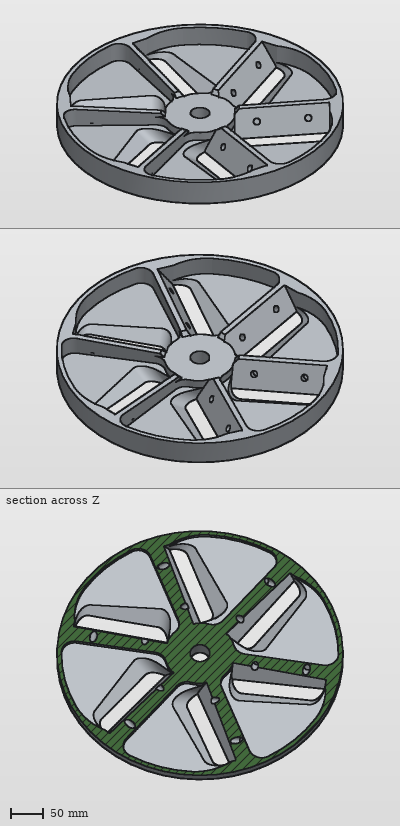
import cadquery as cq
import math

OUTER_RADIUS = 222.5
TOTAL_HEIGHT = 51.0
BOTTOM_FLAT_RADIUS = 60.0
CONE_ANGLE = 4.0
BORE_DIAMETER = 30.0
FLOOR_HEIGHT = 18.5

HUB_RADIUS = 55.0
HUB_TOP = 33.5
HUB_CLEAR_RADIUS = 75.5

RIB_COUNT = 6
RIB_BACK = 10.2
BLADE_TOP = 1.0
BLADE_BOTTOM = -25.0
BLADE_START = 53.5
BLADE_END = 201.0
RIB_NOSE_START = 54.5
HOLE_DIAMETER = 10.2
HOLE_SPACING = 80.0
HOLE_MIDDLE = 129.5
HOLE_RISE = 2.0
HOLE_DEPTH = 20.0

RIM_INNER_RADIUS = 215.0
CORNER_RADIUS = 20.0
END_WALL_BOTTOM = -25.5
RIM_BLEND_ANGLE = 24.0
SLOT_WIDTH = 22.2
SLOT_WALL_LEAN = 55.0

SECTOR_ANGLE = 360.0 / RIB_COUNT

slope = math.tan(math.radians(CONE_ANGLE))
cone_drop = (OUTER_RADIUS - BOTTOM_FLAT_RADIUS) * slope
web_thickness = (TOTAL_HEIGHT - cone_drop) * math.cos(math.radians(CONE_ANGLE))
blade_run = BLADE_TOP - BLADE_BOTTOM
blade_length = BLADE_END - BLADE_START
blade_middle = (BLADE_START + BLADE_END) / 2

cross_plane = cq.Plane(
    origin=(BOTTOM_FLAT_RADIUS, 0, 0),
    xDir=(0, 1, 0),
    normal=(math.cos(math.radians(CONE_ANGLE)), 0, math.sin(math.radians(CONE_ANGLE))),
)


def polar(radius, angle):
    """Point at a radius and an angle in degrees."""
    return (radius * math.cos(math.radians(angle)), radius * math.sin(math.radians(angle)))


def prism_along_rib(points):
    """Extrude a cross-section parallel to the bottom cone, past both ends of the rib."""
    return cq.Workplane(cross_plane).polyline(points).close().extrude(OUTER_RADIUS, both=True)


def at_every_rib(body, cutter):
    """Cut one copy of the cutter for each rib."""
    for index in range(RIB_COUNT):
        body = body.cut(cutter.rotate((0, 0, 0), (0, 0, 1), index * SECTOR_ANGLE))
    return body


def dished_disc():
    """Solid of revolution with a shallow cone above and a parallel cone below."""
    return (
        cq.Workplane("XZ")
        .moveTo(0, 0)
        .lineTo(BOTTOM_FLAT_RADIUS, 0)
        .lineTo(OUTER_RADIUS, cone_drop)
        .lineTo(OUTER_RADIUS, TOTAL_HEIGHT)
        .lineTo(0, TOTAL_HEIGHT - OUTER_RADIUS * slope)
        .close()
        .revolve(360, (0, 0, 0), (0, 1, 0))
    )


def hub_recess():
    """Space above the hub, leaving the ribs with 45 degree noses."""
    nose_height = TOTAL_HEIGHT - HUB_TOP
    recess = cq.Workplane("XY").workplane(offset=HUB_TOP).circle(HUB_CLEAR_RADIUS).extrude(nose_height)
    rib = (
        cq.Workplane("XZ", origin=(0, RIB_BACK, 0))
        .moveTo(RIB_NOSE_START, HUB_TOP)
        .lineTo(RIB_NOSE_START + nose_height, TOTAL_HEIGHT)
        .lineTo(OUTER_RADIUS, TOTAL_HEIGHT)
        .lineTo(OUTER_RADIUS, HUB_TOP)
        .close()
        .extrude(RIB_BACK - BLADE_BOTTOM)
    )
    return at_every_rib(recess, rib)


def pocket():
    """Pocket in front of one blade face, reaching to the back of the next rib."""
    rim_blend = polar(RIM_INNER_RADIUS, -RIM_BLEND_ANGLE)
    rim_corner_angle = math.degrees(math.asin(RIB_BACK / RIM_INNER_RADIUS)) - SECTOR_ANGLE
    hub_corner_angle = math.degrees(math.asin(RIB_BACK / HUB_RADIUS)) - SECTOR_ANGLE
    hub_end_angle = -math.degrees(math.acos(BLADE_START / HUB_RADIUS))
    rim_corner = polar(RIM_INNER_RADIUS, rim_corner_angle)
    hub_corner = polar(HUB_RADIUS, hub_corner_angle)

    chord = (BLADE_END - rim_blend[0], END_WALL_BOTTOM - rim_blend[1])
    chord_angle = math.degrees(math.atan2(chord[1], chord[0]))
    rim_direction_angle = 90 - RIM_BLEND_ANGLE
    turn = math.radians(chord_angle - rim_direction_angle)
    blend_radius = math.hypot(*chord) / (2 * math.sin(turn))
    blend_center = polar(RIM_INNER_RADIUS - blend_radius, -RIM_BLEND_ANGLE)
    middle_offset = polar(blend_radius, chord_angle - 90)
    blend_middle = (blend_center[0] + middle_offset[0], blend_center[1] + middle_offset[1])

    outline = (
        cq.Workplane("XY", origin=(0, 0, FLOOR_HEIGHT))
        .moveTo(BLADE_START, BLADE_TOP)
        .lineTo(BLADE_END, BLADE_TOP)
        .lineTo(BLADE_END, END_WALL_BOTTOM)
        .threePointArc(blend_middle, rim_blend)
        .threePointArc(polar(RIM_INNER_RADIUS, (rim_corner_angle - RIM_BLEND_ANGLE) / 2), rim_corner)
        .lineTo(*hub_corner)
        .threePointArc(
            polar(HUB_RADIUS, (hub_corner_angle + hub_end_angle) / 2),
            polar(HUB_RADIUS, hub_end_angle),
        )
        .close()
        .extrude(TOTAL_HEIGHT)
    )
    for corner in (rim_corner, hub_corner):
        nearest = cq.selectors.NearestToPointSelector((*corner, FLOOR_HEIGHT + TOTAL_HEIGHT / 2))
        outline = outline.edges(nearest).fillet(CORNER_RADIUS)

    overrun = 2.0
    blade_backing = prism_along_rib([
        (BLADE_BOTTOM, 0),
        (BLADE_BOTTOM + overrun * blade_run, overrun * web_thickness),
        (BLADE_BOTTOM + overrun * blade_run, 0),
    ])
    return outline.cut(blade_backing)


def slot():
    """Slot through the floor between the blade face and a leaning wall rounded at both ends."""
    far_bottom = BLADE_BOTTOM - SLOT_WIDTH
    far_top = far_bottom - web_thickness * math.tan(math.radians(SLOT_WALL_LEAN))
    profile = prism_along_rib([
        (BLADE_BOTTOM, 0),
        (BLADE_TOP, web_thickness),
        (far_top, web_thickness),
        (far_bottom, 0),
    ])
    span = cq.Workplane("XY", origin=(blade_middle, 0, 0)).box(
        blade_length, 2 * OUTER_RADIUS, 4 * TOTAL_HEIGHT
    )
    rounded = profile.intersect(span)
    wall_middle = ((far_bottom + far_top) / 2, web_thickness / 2)
    for end in (BLADE_START, BLADE_END):
        point = cross_plane.toWorldCoords((*wall_middle, end - BOTTOM_FLAT_RADIUS)).toTuple()
        rounded = rounded.edges(cq.selectors.NearestToPointSelector(point)).fillet(CORNER_RADIUS)
    below_floor = (
        cq.Workplane("XY", origin=(0, 0, FLOOR_HEIGHT))
        .circle(OUTER_RADIUS)
        .extrude(-TOTAL_HEIGHT)
    )
    return rounded.intersect(below_floor)


def blade_holes():
    """Pair of blind holes square to the blade face, just above its mid-height."""
    across = cross_plane.xDir
    up = cross_plane.yDir
    into_rib = across * web_thickness - up * blade_run
    share_up = 0.5 + HOLE_RISE / math.hypot(blade_run, web_thickness)
    holes = cq.Workplane("XY")
    for offset in (-HOLE_SPACING / 2, HOLE_SPACING / 2):
        distance = HOLE_MIDDLE + offset - BOTTOM_FLAT_RADIUS
        face_point = (BLADE_BOTTOM + share_up * blade_run, share_up * web_thickness, distance)
        start = cross_plane.toWorldCoords(face_point)
        hole = cq.Solid.makeCylinder(HOLE_DIAMETER / 2, HOLE_DEPTH, start, into_rib)
        holes = holes.add(hole)
    return holes.combine()


result = dished_disc().cut(hub_recess())
for cutter in (pocket(), slot(), blade_holes()):
    result = at_every_rib(result, cutter)
result = result.cut(cq.Workplane("XY").circle(BORE_DIAMETER / 2).extrude(TOTAL_HEIGHT))